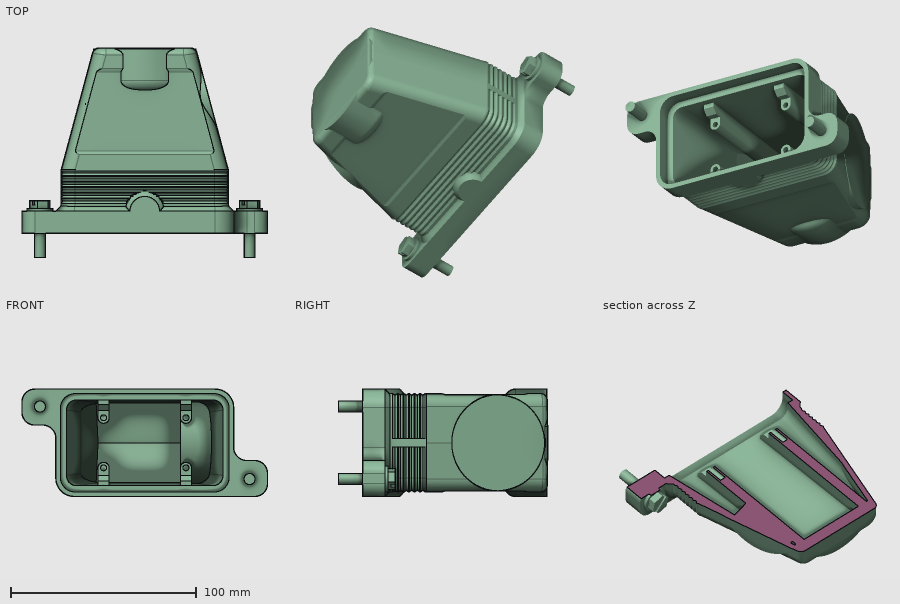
import cadquery as cq
import math


FLANGE_X = 96.0
FLANGE_Z = 58.0
FLANGE_T = 12.0
FLANGE_R = 10.0
EAR_TO_EAR = 132.5
EAR_Z = 19.5
EAR_R = 7.0

COLLAR_X = 90.3
COLLAR_Z = 53.0
COLLAR_R = 7.5
COLLAR_END = 34.6
FLARE = 2.7
GROOVE_COUNT = 6
GROOVE_PITCH = 3.0
FIRST_GROOVE_Y = 17.5
GROOVE_MOUTH = 2.85
GROOVE_DEPTH = 0.85
FLANK_RUN = 1.25
FLANK_BLOCK_T = GROOVE_MOUTH / 2
SIDE_BAND_Z = 4.6

BODY_OVERLAP = 0.5
BODY_START = COLLAR_END - BODY_OVERLAP
BODY_END = 100.0
BODY_HALF_Z = COLLAR_Z / 2
SIDE_ANGLE = 15.0
SIDE_SLOPE = math.tan(math.radians(SIDE_ANGLE))
BODY_HALF_X = 45.0
PARTING_DRAFT = 1.0
BODY_EDGE_R = 7.0
BACK_EDGE_R = 3.4
PANEL_DEPTH = 0.5
PANEL_START = 42.7
PANEL_END = 88.9
PANEL_RAMP = 1.8

BARREL_R = FLANGE_Z / 2
BARREL_START = 76.5
BARREL_END = 99.4
BARREL_NOSE_R = 6.0
SIDE_AXIS_X = 30.2
SIDE_AXIS_Y = 71.9
SIDE_OUTER_R = 25.9
SIDE_INNER_R = 23.0
SIDE_INNER_END_X = 19.2
SIDE_INNER_SINK = 1.0

LATCH_R = 8.0
LATCH_FLARE = 3.0

RECESS_X = 91.0
RECESS_Z = 53.0
RECESS_R = 8.0
RECESS_DEPTH = 8.0
CAVITY_HALF_X = 42.2
CAVITY_HALF_Z = 23.1
CAVITY_BEND_X = 34.3
CAVITY_BEND_Y = 61.0
CAVITY_END_Y = 95.0
CAVITY_BACK_HALF_Z = 21.5
CAVITY_BACK_SLOPE = math.tan(math.radians(10))
CAVITY_EDGE_R = 5.5

POST_X = 22.2
POST_Z = 13.5
POST_WIDTH = 6.0
POST_FACE_Y = 19.0
POST_HOLE_D = 3.2
POST_HOLE_DEPTH = 10.0
FOOT_FACE_Y = 12.0
FOOT_LOW_Z = 20.6
FOOT_HIGH_Z = 17.5

SCREW_X = 56.5
SCREW_Z = 19.55
SCREW_D = 6.0
SCREW_TIP_Y = -13.0
WASHER_D = 14.0
WASHER_T = 1.6
HEAD_SIDES = 6
HEAD_FLATS = 10.0
HEAD_H = 4.1
HEAD_TURN = 17.3
SLOT_TURN = HEAD_TURN + 180 / HEAD_SIDES
SLOT_W = 1.6
SLOT_DEPTH = 2.4


def at_y(y):
    """Workplane at the given Y with local axes X and Z; extrude(-d) goes toward +Y."""
    return cq.Workplane("XZ", origin=(0, y, 0))


def rounded_block(size_x, size_z, radius, y_start, y_end):
    block = at_y(y_start).rect(size_x, size_z).extrude(y_start - y_end)
    return block.edges("|Y").fillet(radius)


def flange():
    half_x, half_z, end_x = FLANGE_X / 2, FLANGE_Z / 2, EAR_TO_EAR / 2
    ear_edge = half_z - EAR_Z
    half_outline = [
        (half_x, half_z),
        (half_x, -ear_edge),
        (end_x, -ear_edge),
        (end_x, -half_z),
    ]
    outline = half_outline + [(-x, -z) for x, z in half_outline]
    plate = at_y(0).polyline(outline).close().extrude(-FLANGE_T)
    for sign in (1, -1):
        corner = cq.selectors.NearestToPointSelector((sign * half_x, FLANGE_T / 2, sign * half_z))
        plate = plate.edges(corner).fillet(FLANGE_R)
    for x, z in half_outline[1:]:
        for sign in (1, -1):
            corner = cq.selectors.NearestToPointSelector((sign * x, FLANGE_T / 2, sign * z))
            plate = plate.edges(corner).fillet(EAR_R)
    return plate


def groove(y):
    """Groove with sloped flanks around the collar, broken by a plain band on each short side."""
    y_start, y_end = y - GROOVE_MOUTH / 2, y + GROOVE_MOUTH / 2
    overshoot = 2 * GROOVE_DEPTH
    ring = rounded_block(COLLAR_X + overshoot, COLLAR_Z + overshoot, COLLAR_R + GROOVE_DEPTH, y_start, y_end)
    core = rounded_block(COLLAR_X - overshoot, COLLAR_Z - overshoot, COLLAR_R - GROOVE_DEPTH, y_start, y_end)
    first_flank = rounded_block(COLLAR_X, COLLAR_Z, COLLAR_R, y_start, y_start + FLANK_BLOCK_T)
    last_flank = rounded_block(COLLAR_X, COLLAR_Z, COLLAR_R, y_end - FLANK_BLOCK_T, y_end)
    core = core.union(first_flank.faces(">Y").chamfer(FLANK_RUN, GROOVE_DEPTH))
    core = core.union(last_flank.faces("<Y").chamfer(FLANK_RUN, GROOVE_DEPTH))
    band = cq.Workplane("XY").box(2 * COLLAR_X, 2 * COLLAR_END, SIDE_BAND_Z)
    return ring.cut(core).cut(band)


def collar():
    block = rounded_block(COLLAR_X, COLLAR_Z, COLLAR_R, 0, COLLAR_END)
    for i in range(GROOVE_COUNT):
        block = block.cut(groove(FIRST_GROOVE_Y + i * GROOVE_PITCH))
    flare = rounded_block(FLANGE_X, FLANGE_Z, FLANGE_R, 0, FLANGE_T + FLARE)
    return block.union(flare.faces(">Y").chamfer(FLARE))


def side_x(y):
    """Half width of the tapered body at the parting plane."""
    return BODY_HALF_X - (y - COLLAR_END) * SIDE_SLOPE


def panel_cut():
    """Shallow recess with ramped ends across the upper long face of the body."""
    bottom = BODY_HALF_Z - PANEL_DEPTH
    profile = [
        (PANEL_START, BODY_HALF_Z),
        (PANEL_START + PANEL_RAMP, bottom),
        (PANEL_END - PANEL_RAMP, bottom),
        (PANEL_END, BODY_HALF_Z),
    ]
    return cq.Workplane("YZ").polyline(profile).close().extrude(COLLAR_X, both=True)


def body():
    """Tapered shell outside: drafted from the parting plane, edges rounded, panels sunk."""
    start_x, end_x = side_x(BODY_START), side_x(BODY_END)
    outline = [(-start_x, BODY_START), (start_x, BODY_START), (end_x, BODY_END), (-end_x, BODY_END)]
    half = cq.Workplane("XY").polyline(outline).close().extrude(BODY_HALF_Z, taper=PARTING_DRAFT)
    half = half.faces(">Z").edges("not |X").fillet(BODY_EDGE_R)
    half = half.faces(">Y").edges("not <Z").fillet(BACK_EDGE_R)
    half = half.cut(panel_cut())
    return half.union(half.mirror("XY"))


def rear_barrel():
    length = BARREL_END - BARREL_START
    barrel = at_y(BARREL_START).circle(BARREL_R).extrude(-length).faces("<Y").edges().fillet(BARREL_NOSE_R)
    end_x = side_x(BARREL_END)
    return barrel.intersect(cq.Workplane("XY").box(2 * end_x, 3 * BODY_END, FLANGE_Z))


def side_cylinder(radius, start, end):
    """Cylinder on the side entry axis between two distances from the axis origin."""
    angle = math.radians(SIDE_ANGLE)
    direction = cq.Vector(math.cos(angle), math.sin(angle), 0)
    base = cq.Vector(SIDE_AXIS_X, SIDE_AXIS_Y, 0) + direction * start
    return cq.Workplane(obj=cq.Solid.makeCylinder(radius, end - start, base, direction))


def side_wall_distance():
    """Distance from the side axis origin to the outer face of the slanted wall."""
    gap = side_x(SIDE_AXIS_Y) - SIDE_AXIS_X
    return gap * math.cos(math.radians(SIDE_ANGLE))


def latch_bosses():
    """Half-round 45 degree cones standing on the flange, one on each long side."""
    top_z = FLANGE_Z / 2
    profile = [(0, 0), (LATCH_R + LATCH_FLARE, 0), (LATCH_R, LATCH_FLARE), (0, LATCH_FLARE)]
    cone = cq.Workplane("XZ").polyline(profile).close().revolve(360, (0, 0), (0, 1))
    keep = cq.Workplane("XY").box(COLLAR_X, COLLAR_X, COLLAR_X).translate((0, COLLAR_X / 2, 0))
    upper = cone.intersect(keep).translate((0, FLANGE_T, top_z - LATCH_FLARE))
    return upper.union(upper.mirror("XY"))


def symmetric_plan(half_outline):
    """Prism from a plan outline mirrored in the YZ plane, tall enough for the cavity."""
    mirrored = [(-x, y) for x, y in reversed(half_outline)]
    return cq.Workplane("XY").polyline(half_outline + mirrored).close().extrude(CAVITY_HALF_Z, both=True)


def cavity():
    """Mouth recess and the drafted inner space with a V-shaped back wall."""
    recess = rounded_block(RECESS_X, RECESS_Z, RECESS_R, 0, RECESS_DEPTH)
    wall_slope = (CAVITY_HALF_X - CAVITY_BEND_X) / (CAVITY_BEND_Y - RECESS_DEPTH)
    outer_end_x = CAVITY_HALF_X - (CAVITY_END_Y - RECESS_DEPTH) * wall_slope
    inner_end_x = CAVITY_BEND_X - (CAVITY_END_Y - CAVITY_BEND_Y) * SIDE_SLOPE
    inner_start_x = CAVITY_BEND_X + (CAVITY_BEND_Y - RECESS_DEPTH) * SIDE_SLOPE
    back_edge_y = CAVITY_END_Y - CAVITY_BACK_HALF_Z * CAVITY_BACK_SLOPE
    section = [
        (RECESS_DEPTH, -CAVITY_HALF_Z),
        (back_edge_y, -CAVITY_BACK_HALF_Z),
        (CAVITY_END_Y, 0),
        (back_edge_y, CAVITY_BACK_HALF_Z),
        (RECESS_DEPTH, CAVITY_HALF_Z),
    ]
    space = symmetric_plan([(CAVITY_HALF_X, RECESS_DEPTH), (outer_end_x, CAVITY_END_Y)])
    space = space.intersect(cq.Workplane("YZ").polyline(section).close().extrude(CAVITY_HALF_X, both=True))
    mid_length = cq.selectors.BoxSelector(
        (-CAVITY_HALF_X, RECESS_DEPTH + 1, -CAVITY_HALF_Z),
        (CAVITY_HALF_X, CAVITY_BEND_Y, CAVITY_HALF_Z),
    )
    space = space.edges(mid_length).fillet(CAVITY_EDGE_R)
    wedge = symmetric_plan([(inner_start_x, RECESS_DEPTH), (inner_end_x, CAVITY_END_Y)])
    return recess.union(space.intersect(wedge))


def post():
    """Contact insert post with its foot, on the upper wall at +X."""
    wall_z = (CAVITY_HALF_Z + BODY_HALF_Z) / 2
    foot_rise = FOOT_LOW_Z - FOOT_HIGH_Z
    back_y = CAVITY_END_Y
    foot_profile = [
        (FOOT_FACE_Y, wall_z),
        (FOOT_FACE_Y, FOOT_LOW_Z),
        (FOOT_FACE_Y + foot_rise, FOOT_HIGH_Z),
        (back_y, FOOT_HIGH_Z),
        (back_y, wall_z),
    ]
    foot = cq.Workplane("YZ").polyline(foot_profile).close().extrude(POST_WIDTH / 2, both=True)
    rail_z = FOOT_HIGH_Z - POST_Z
    rail_length = back_y - POST_FACE_Y
    post_face = at_y(POST_FACE_Y)
    rail = post_face.center(0, POST_Z + rail_z / 2).rect(POST_WIDTH, rail_z).extrude(-rail_length)
    round_edge = post_face.center(0, POST_Z).circle(POST_WIDTH / 2).extrude(-rail_length)
    hole = post_face.center(0, POST_Z).circle(POST_HOLE_D / 2).extrude(-POST_HOLE_DEPTH)
    return foot.union(rail).union(round_edge).cut(hole).translate((POST_X, 0, 0))


def mirrored_four(shape):
    pair = shape.union(shape.mirror("YZ"))
    return pair.union(pair.mirror("XY"))


def screw():
    """Slotted hex screw with washer, axis along Y."""
    shank = at_y(SCREW_TIP_Y).circle(SCREW_D / 2).extrude(SCREW_TIP_Y - FLANGE_T)
    washer = at_y(FLANGE_T).circle(WASHER_D / 2).extrude(-WASHER_T)
    head_y = FLANGE_T + WASHER_T
    corner_d = HEAD_FLATS / math.cos(math.pi / HEAD_SIDES)
    slot = at_y(head_y + HEAD_H - SLOT_DEPTH).rect(2 * HEAD_FLATS, SLOT_W).extrude(-SLOT_DEPTH)
    slot = slot.rotate((0, 0, 0), (0, 1, 0), SLOT_TURN)
    head = at_y(head_y).polygon(HEAD_SIDES, corner_d).extrude(-HEAD_H)
    head = head.rotate((0, 0, 0), (0, 1, 0), HEAD_TURN).cut(slot)
    return shank.union(washer).union(head)


def hood():
    outside = flange().union(collar()).union(body()).union(rear_barrel()).union(latch_bosses())
    wall = side_wall_distance()
    outside = outside.union(side_cylinder(SIDE_OUTER_R, wall - BODY_EDGE_R, wall))
    inside_end = cq.Workplane("XY").box(BODY_END, BODY_END, FLANGE_Z)
    inside_end = inside_end.translate((SIDE_INNER_END_X + BODY_END / 2, SIDE_AXIS_Y, 0))
    barrel = side_cylinder(SIDE_INNER_R, -SIDE_INNER_R, wall - SIDE_INNER_SINK)
    barrel = barrel.intersect(inside_end).intersect(outside)
    return outside.cut(cavity()).union(barrel).union(mirrored_four(post()))


def complete_hood():
    part = hood()
    for side in (1, -1):
        part = part.union(screw().translate((side * SCREW_X, 0, -side * SCREW_Z)))
    return part


result = complete_hood()